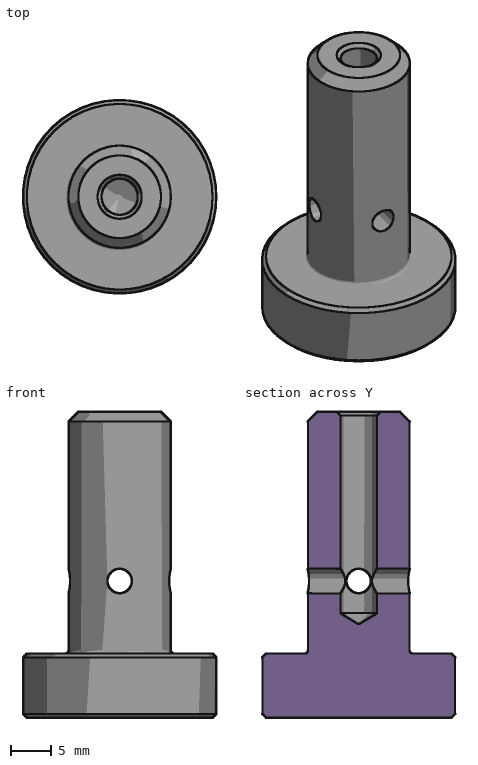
import cadquery as cq
import math

total_height = 38.0
head_radius = 12.0
head_height = 8.0
stem_radius = 6.35
stem_root_fillet = 0.38
edge_chamfer = 0.5
stem_tip_chamfer = 1.2

bore_radius = 2.25
bore_depth = 25.0
drill_point_angle = 118.0

cross_hole_diameter = 3.0
cross_hole_height = 17.0


def make_head():
    """Round head with both rims chamfered."""
    head = cq.Workplane("XY").circle(head_radius).extrude(head_height)
    return head.edges("%CIRCLE").chamfer(edge_chamfer)


def make_stem():
    """Round stem standing on the head, with a chamfered tip."""
    stem = cq.Workplane("XY").workplane(offset=head_height)
    stem = stem.circle(stem_radius).extrude(total_height - head_height)
    return stem.faces(">Z").chamfer(stem_tip_chamfer)


def make_root_fillet():
    """Concave ring that blends the stem into the top of the head."""
    outer_radius = stem_radius + stem_root_fillet
    fillet_top = head_height + stem_root_fillet
    bulge = stem_root_fillet * (1 - math.sqrt(0.5))
    return (
        cq.Workplane("XZ")
        .moveTo(0, head_height)
        .lineTo(outer_radius, head_height)
        .threePointArc((stem_radius + bulge, head_height + bulge), (stem_radius, fillet_top))
        .lineTo(0, fillet_top)
        .close()
        .revolve(360, (0, 0), (0, 1))
    )


def make_bore():
    """Blind drilled bore with a conical bottom and a countersunk mouth."""
    bore_floor = total_height - bore_depth
    drill_point_length = bore_radius / math.tan(math.radians(drill_point_angle / 2))
    return (
        cq.Workplane("XZ")
        .moveTo(0, bore_floor - drill_point_length)
        .lineTo(bore_radius, bore_floor)
        .lineTo(bore_radius, total_height - edge_chamfer)
        .lineTo(bore_radius + edge_chamfer, total_height)
        .lineTo(0, total_height)
        .close()
        .revolve(360, (0, 0), (0, 1))
    )


def make_cross_hole(plane):
    """Hole through the whole stem, square to the given vertical plane."""
    return (
        cq.Workplane(plane)
        .center(0, cross_hole_height)
        .circle(cross_hole_diameter / 2)
        .extrude(2 * stem_radius, both=True)
    )


result = make_head().union(make_stem()).union(make_root_fillet()).cut(make_bore())
for hole_plane in ("XZ", "YZ"):
    result = result.cut(make_cross_hole(hole_plane))